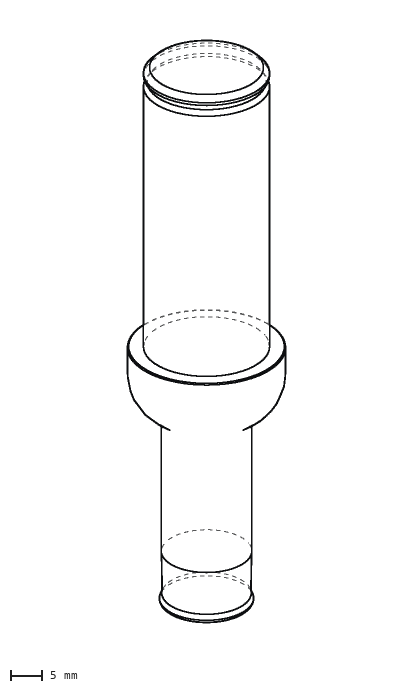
import cadquery as cq
import math

overall_height = 97.0
head_chamfer_height = 1.0
groove_top_z = 95.5
groove_floor_z = 94.5
groove_bottom_z = 93.6
collar_top_z = 46.85
collar_bottom_z = 41.9
joint_z = 10.1
neck_z = 2.5
rim_top_z = 1.65

shaft_radius = 20.0 / 2
head_top_radius = 9.0
groove_radius = 9.4
collar_radius = 25.0 / 2
collar_chamfer = 0.2
stem_radius = 14.4 / 2
neck_radius = 7.1
rim_radius = 7.5
rim_round = 0.7

shoulder_round = 7.6
stem_fillet = 3.9


def point_on_arc(center, radius, angle):
    return (center[0] + radius * math.cos(angle), center[1] + radius * math.sin(angle))


def revolve_about_z(profile):
    return profile.close().revolve(360, (0, 0, 0), (0, 1, 0))


def make_holder():
    """Shaft with a grooved head, collar, rounded shoulder and stem."""
    shoulder_center = (collar_radius - shoulder_round, collar_bottom_z)
    fillet_offset = stem_radius + stem_fillet - shoulder_center[0]
    tangent_angle = math.acos(fillet_offset / (shoulder_round + stem_fillet))
    fillet_drop = (shoulder_round + stem_fillet) * math.sin(tangent_angle)
    fillet_center = (stem_radius + stem_fillet, collar_bottom_z - fillet_drop)

    shoulder_middle = point_on_arc(shoulder_center, shoulder_round, -tangent_angle / 2)
    tangent_point = point_on_arc(shoulder_center, shoulder_round, -tangent_angle)
    fillet_middle = point_on_arc(fillet_center, stem_fillet, math.pi - tangent_angle / 2)

    profile = (
        cq.Workplane("XZ")
        .moveTo(0, overall_height)
        .lineTo(head_top_radius, overall_height)
        .lineTo(shaft_radius, overall_height - head_chamfer_height)
        .lineTo(shaft_radius, groove_top_z)
        .lineTo(groove_radius, groove_floor_z)
        .lineTo(shaft_radius, groove_bottom_z)
        .lineTo(shaft_radius, collar_top_z)
        .lineTo(collar_radius - collar_chamfer, collar_top_z)
        .lineTo(collar_radius, collar_top_z - collar_chamfer)
        .lineTo(collar_radius, collar_bottom_z)
        .threePointArc(shoulder_middle, tangent_point)
        .threePointArc(fillet_middle, (stem_radius, fillet_center[1]))
        .lineTo(stem_radius, joint_z)
        .lineTo(0, joint_z)
    )
    return revolve_about_z(profile)


def make_tip():
    """Slightly tapered tip with a flared, rounded rim and a domed end."""
    round_center = (rim_radius - rim_round, rim_top_z)
    dome_radius = (round_center[0] ** 2 + rim_top_z**2 - rim_round**2) / (2 * (rim_top_z - rim_round))
    dome_center = (0, dome_radius)
    dome_angle = math.asin(round_center[0] / (dome_radius - rim_round))
    dome_edge_direction = dome_angle - math.pi / 2

    round_middle = point_on_arc(round_center, rim_round, dome_edge_direction / 2)
    dome_edge = point_on_arc(dome_center, dome_radius, dome_edge_direction)
    dome_middle = point_on_arc(dome_center, dome_radius, dome_angle / 2 - math.pi / 2)

    profile = (
        cq.Workplane("XZ")
        .moveTo(0, joint_z)
        .lineTo(stem_radius, joint_z)
        .lineTo(neck_radius, neck_z)
        .lineTo(rim_radius, rim_top_z)
        .threePointArc(round_middle, dome_edge)
        .threePointArc(dome_middle, (0, 0))
    )
    return revolve_about_z(profile)


holder = make_holder()
tip = make_tip()

result = cq.Compound.makeCompound([holder.val(), tip.val()])